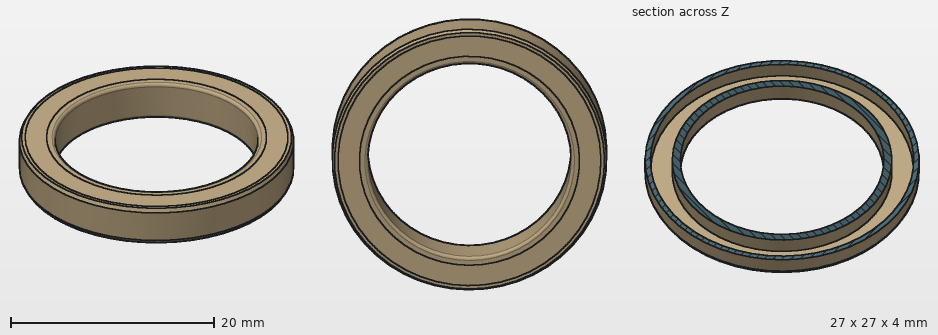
import cadquery as cq

outer_diameter = 27.0
bore_diameter = 19.98
width = 4.0

shield_outer_diameter = 25.87
shield_inner_diameter = 21.65
shield_thickness = 0.4

chamfer_radial = 0.22
chamfer_axial = 0.4
bore_fillet = 0.32

outer_radius = outer_diameter / 2
half_width = width / 2


def annulus(outside_diameter, inside_diameter, height, bottom):
    """Plain ring about Z standing on the height `bottom`."""
    return (
        cq.Workplane("XY")
        .workplane(offset=bottom)
        .circle(outside_diameter / 2)
        .circle(inside_diameter / 2)
        .extrude(height)
    )


def make_outer_ring():
    """Outer race with a steep chamfer on both outside edges."""
    inner_radius = shield_outer_diameter / 2
    rim_radius = outer_radius - chamfer_radial
    wall_top = half_width - chamfer_axial
    return (
        cq.Workplane("XZ")
        .moveTo(inner_radius, -half_width)
        .lineTo(rim_radius, -half_width)
        .lineTo(outer_radius, -wall_top)
        .lineTo(outer_radius, wall_top)
        .lineTo(rim_radius, half_width)
        .lineTo(inner_radius, half_width)
        .close()
        .revolve(360, (0, 0, 0), (0, 1, 0))
    )


def make_inner_ring():
    """Inner race with rounded bore edges."""
    ring = annulus(shield_inner_diameter, bore_diameter, width, -half_width)
    bore_edges = cq.selectors.RadiusNthSelector(0)
    return ring.faces("|Z").edges(bore_edges).fillet(bore_fillet)


def make_shield(bottom):
    """Thin flat washer filling the gap between the two races."""
    return annulus(shield_outer_diameter, shield_inner_diameter, shield_thickness, bottom)


outer_ring = make_outer_ring()
inner_ring = make_inner_ring()

shields = []
for shield_bottom in (-half_width, half_width - shield_thickness):
    shields.append(make_shield(shield_bottom).val())

result = cq.Compound.makeCompound([outer_ring.val(), inner_ring.val(), *shields])